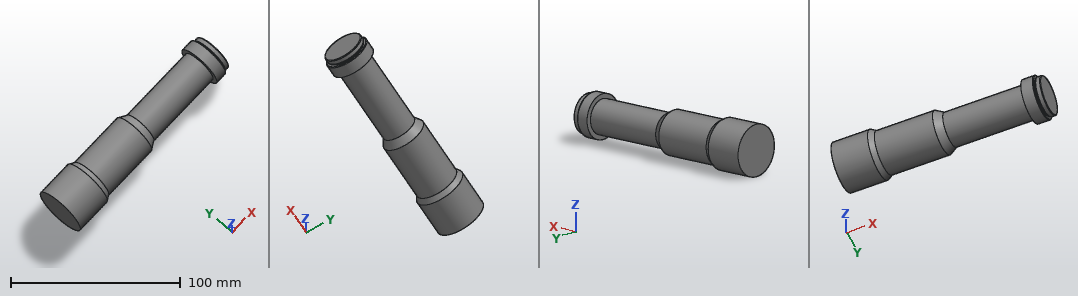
import cadquery as cq
import math

head_radius = 16.0
body_radius = 13.99
shank_radius = 11.0
collar_radius = body_radius
groove_radius = 12.0
tip_radius = 12.6

total_length = 133.9
head_end = 23.7
body_end = 64.8
collar_start = 121.8
collar_end = 129.9
tip_start = 130.7

taper_angle = math.radians(30)
edge_chamfer = 0.5


def taper_length(large_radius, small_radius):
    """Axial length of a conical step at the common taper angle."""
    return (large_radius - small_radius) / math.tan(taper_angle)


body_start = head_end + taper_length(head_radius, body_radius)
shank_start = body_end + taper_length(body_radius, shank_radius)

half_section = [
    (0, 0),
    (0, head_radius),
    (head_end, head_radius),
    (body_start, body_radius),
    (body_end, body_radius),
    (shank_start, shank_radius),
    (collar_start, shank_radius),
    (collar_start, collar_radius),
    (collar_end - edge_chamfer, collar_radius),
    (collar_end, collar_radius - edge_chamfer),
    (collar_end, groove_radius),
    (tip_start, groove_radius),
    (tip_start, tip_radius),
    (total_length - edge_chamfer, tip_radius),
    (total_length, tip_radius - edge_chamfer),
    (total_length, 0),
]

result = (
    cq.Workplane("XY")
    .polyline(half_section)
    .close()
    .revolve(360, (0, 0, 0), (1, 0, 0))
)